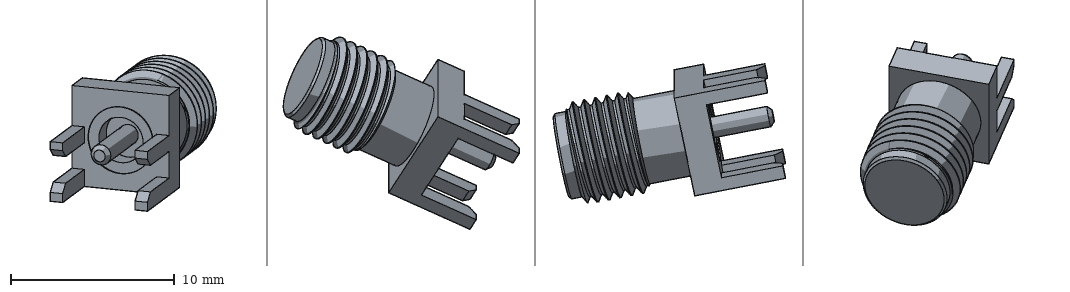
import cadquery as cq


flange_side = 6.35
flange_thickness = 1.84
half_side = flange_side / 2

leg_length = 3.81
leg_width = 0.81
leg_chamfer = 0.52
lower_leg_height = 1.09
upper_leg_top = 0.63
upper_leg_height = 1.01
pin_length = 3.69
pin_radius = 0.64
pin_chamfer = 0.27

recess_radius = 2.12
recess_depth = 0.08
bore_radius = 1.44
bore_depth = 1.39

total_length = 13.33
barrel_end = total_length - leg_length
barrel_radius = 2.67
barrel_chamfer = 0.15

thread_collar = 0.79
thread_length = 4.23
thread_end = barrel_end - thread_collar
thread_start = thread_end - thread_length
thread_pitch = 0.705
root_radius = 2.76
crest_radius = 3.16
crest_width = 0.07
ridge_base_width = 0.56
root_overlap = 0.04
lead_in = 0.32
crest_offset = 1.7


def cylinder(radius, y_start, y_end):
    disc = cq.Workplane("XZ", origin=(0, y_start, 0)).circle(radius)
    return disc.extrude(y_start - y_end)


def make_leg(x_start, z_bottom, height, chamfered_edge):
    """Square leg with one tip edge cut at 45 degrees."""
    leg = cq.Workplane("XY").box(leg_width, leg_length, height, centered=False)
    leg = leg.faces("<Y").edges(chamfered_edge).chamfer(leg_chamfer)
    return leg.translate((x_start, -leg_length, z_bottom))


def make_thread():
    """Right-handed helical ridge on a core, trimmed by a blank with conical ends."""
    turns_before = 6
    turns = 8
    helix_start = barrel_end - crest_offset - turns_before * thread_pitch
    helix = cq.Wire.makeHelix(thread_pitch, turns * thread_pitch, root_radius)
    inner_radius = root_radius - root_overlap
    flank_slope = (ridge_base_width - crest_width) / 2 / (crest_radius - root_radius)
    half_crest = crest_width / 2
    half_base = ridge_base_width / 2 + root_overlap * flank_slope
    ridge = (
        cq.Workplane("XZ")
        .polyline([
            (inner_radius, -half_base),
            (crest_radius, -half_crest),
            (crest_radius, half_crest),
            (inner_radius, half_base),
        ])
        .close()
        .sweep(cq.Workplane(helix), isFrenet=True)
        .rotate((0, 0, 0), (1, 0, 0), -90)
        .translate((0, helix_start, 0))
    )
    blank = (
        cq.Workplane("XY")
        .polyline([
            (0, thread_start),
            (barrel_radius, thread_start),
            (half_side, thread_start + lead_in),
            (half_side, thread_end - lead_in),
            (barrel_radius, thread_end),
            (0, thread_end),
        ])
        .close()
        .revolve(360, (0, 0, 0), (0, 1, 0))
    )
    core = cylinder(root_radius, thread_start, thread_end).intersect(blank)
    return core.union(ridge.intersect(blank))


body = cq.Workplane("XY").box(flange_side, flange_thickness, flange_side)
body = body.translate((0, flange_thickness / 2, 0))
barrel = cylinder(barrel_radius, flange_thickness, barrel_end).faces(">Y").chamfer(barrel_chamfer)
body = body.union(barrel).union(make_thread())

body = body.cut(cylinder(recess_radius, 0, recess_depth))
body = body.cut(cylinder(bore_radius, 0, bore_depth))

pin = cylinder(pin_radius, -pin_length, bore_depth).faces("<Y").chamfer(pin_chamfer)
body = body.union(pin)

for leg_x in (-half_side, half_side - leg_width):
    body = body.union(make_leg(leg_x, -half_side, lower_leg_height, ">Z"))
    body = body.union(make_leg(leg_x, upper_leg_top - upper_leg_height, upper_leg_height, "<Z"))

result = body